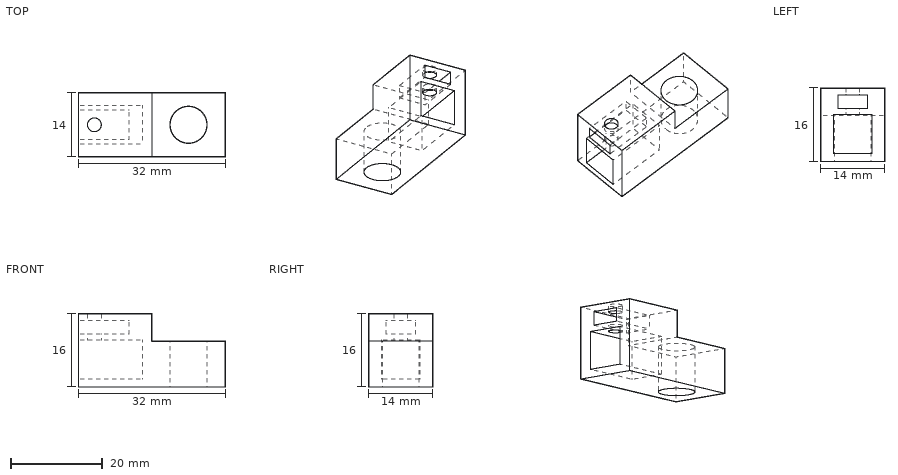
import cadquery as cq

LENGTH = 32.0
WIDTH = 14.0
HEIGHT = 16.0
BLOCK_LENGTH = LENGTH / 2
TONGUE_HEIGHT = 10.0

MOUNT_DIAMETER = 8.0
MOUNT_X = (BLOCK_LENGTH + LENGTH) / 2

SOCKET_SIDE = 8.4
SOCKET_FLOOR_Z = 1.8
SOCKET_DEPTH = 14.0

SLOT_WIDTH = 6.5
SLOT_HEIGHT = 3.0
SLOT_ROOF = 1.5
SLOT_FLOOR_Z = HEIGHT - SLOT_ROOF - SLOT_HEIGHT
SLOT_DEPTH = 11.0

SCREW_DIAMETER = 3.0
SCREW_X = 3.5


def box_from_end(length, width, height, bottom_z):
    """Box starting at the -X end face and centred across the width."""
    box = cq.Workplane("XY").box(length, width, height, centered=(False, True, False))
    return box.translate((0, 0, bottom_z))


def vertical_cylinder(diameter, x, bottom_z, top_z):
    """Upright cylinder on the centre plane of the part."""
    base = cq.Workplane("XY", origin=(x, 0, bottom_z))
    return base.circle(diameter / 2).extrude(top_z - bottom_z)


def stepped_body():
    """Tall block with a lower tongue reaching to the +X end."""
    tongue = box_from_end(LENGTH, WIDTH, TONGUE_HEIGHT, 0)
    block = box_from_end(BLOCK_LENGTH, WIDTH, HEIGHT, 0)
    return tongue.union(block).clean()


mount_hole = vertical_cylinder(MOUNT_DIAMETER, MOUNT_X, 0, TONGUE_HEIGHT)
socket = box_from_end(SOCKET_DEPTH, SOCKET_SIDE, SOCKET_SIDE, SOCKET_FLOOR_Z)
flat_slot = box_from_end(SLOT_DEPTH, SLOT_WIDTH, SLOT_HEIGHT, SLOT_FLOOR_Z)
screw_hole = vertical_cylinder(SCREW_DIAMETER, SCREW_X, SOCKET_FLOOR_Z + SOCKET_SIDE, HEIGHT)

result = stepped_body().cut(mount_hole).cut(socket).cut(flat_slot).cut(screw_hole)